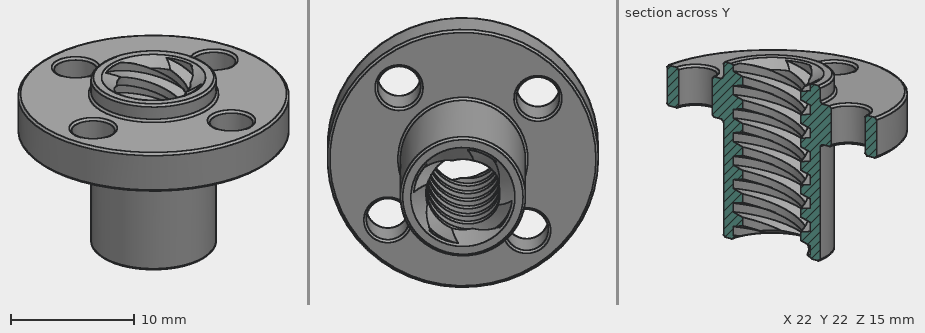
import cadquery as cq
import math

flange_diameter = 22.0
flange_thickness = 3.5
barrel_diameter = 10.16
total_height = 15.0
boss_height = 1.5
edge_chamfer = 0.2

hole_count = 4
hole_diameter = 3.5
hole_circle_diameter = 16.0

thread_starts = 4
thread_lead = 8.0
minor_diameter = 6.0
major_diameter = 8.0
flank_angle = 15.0
first_groove_angle = 57.0
trim_margin = 0.22

lead_in_diameter = 8.45
lead_in_slope = 28.0

flange_radius = flange_diameter / 2
barrel_radius = barrel_diameter / 2
minor_radius = minor_diameter / 2
major_radius = major_diameter / 2
pitch_radius = (minor_radius + major_radius) / 2
thread_pitch = thread_lead / thread_starts
flange_top = total_height - boss_height
flange_bottom = flange_top - flange_thickness


def revolve_about_z(profile):
    """Solid of revolution from (radius, height) points."""
    return cq.Workplane("XZ").polyline(profile).close().revolve(360, (0, 0), (0, 1))


def make_body():
    """Revolve the barrel, flange and boss, with bevelled edges and roots."""
    c = edge_chamfer
    profile = [
        (0, 0),
        (barrel_radius - c, 0),
        (barrel_radius, c),
        (barrel_radius, flange_bottom - c),
        (barrel_radius + c, flange_bottom),
        (flange_radius - c, flange_bottom),
        (flange_radius, flange_bottom + c),
        (flange_radius, flange_top - c),
        (flange_radius - c, flange_top),
        (barrel_radius + c, flange_top),
        (barrel_radius, flange_top + c),
        (barrel_radius, total_height - c),
        (barrel_radius - c, total_height),
        (0, total_height),
    ]
    return revolve_about_z(profile)


def make_mounting_hole():
    """Cutter for one flange hole at the origin, bevelled at both faces."""
    r = hole_diameter / 2
    c = edge_chamfer
    profile = [
        (0, flange_bottom),
        (r + c, flange_bottom),
        (r, flange_bottom + c),
        (r, flange_top - c),
        (r + c, flange_top),
        (0, flange_top),
    ]
    return revolve_about_z(profile)


def make_lead_in():
    """Conical cutter that opens the bore at the bottom face."""
    mouth = lead_in_diameter / 2
    height = mouth * math.tan(math.radians(lead_in_slope))
    profile = [(0, 0), (mouth, 0), (0, height)]
    return revolve_about_z(profile)


def polar(radius, degrees):
    """Point across the axis at a radius and direction."""
    angle = math.radians(degrees)
    return (radius * math.cos(angle), radius * math.sin(angle))


def groove_half_angle(radius):
    """Half the angle a groove spans at a radius, in a section across the axis."""
    slope = math.tan(math.radians(flank_angle))
    half_width = thread_pitch / 4 + (pitch_radius - radius) * slope
    return 360 * half_width / thread_lead


def make_threaded_bore():
    """Bore cutter with all thread grooves: a twisted star trimmed to the thread's diameters."""
    inner_radius = minor_radius - trim_margin
    outer_radius = major_radius + trim_margin
    inner = groove_half_angle(inner_radius)
    middle = groove_half_angle(pitch_radius)
    outer = groove_half_angle(outer_radius)
    spacing = 360 / thread_starts

    section = cq.Workplane("XY").moveTo(*polar(inner_radius, first_groove_angle - inner))
    for i in range(thread_starts):
        center = first_groove_angle + i * spacing
        section = (
            section
            .threePointArc(polar(pitch_radius, center - middle), polar(outer_radius, center - outer))
            .lineTo(*polar(outer_radius, center + outer))
            .threePointArc(polar(pitch_radius, center + middle), polar(inner_radius, center + inner))
        )
        if i < thread_starts - 1:
            section = section.lineTo(*polar(inner_radius, center + spacing - inner))
    twist = 360 * total_height / thread_lead
    star = section.close().twistExtrude(total_height, twist)

    floor_cylinder = cq.Workplane("XY").circle(major_radius).extrude(total_height)
    crest_cylinder = cq.Workplane("XY").circle(minor_radius).extrude(total_height)
    return star.intersect(floor_cylinder).union(crest_cylinder)


nut = make_body()

for i in range(hole_count):
    center = polar(hole_circle_diameter / 2, i * 360 / hole_count)
    nut = nut.cut(make_mounting_hole().translate((*center, 0)))

nut = nut.cut(make_threaded_bore())

lower_lead_in = make_lead_in()
upper_lead_in = lower_lead_in.mirror("XY").translate((0, 0, total_height))
nut = nut.cut(lower_lead_in).cut(upper_lead_in)

result = nut